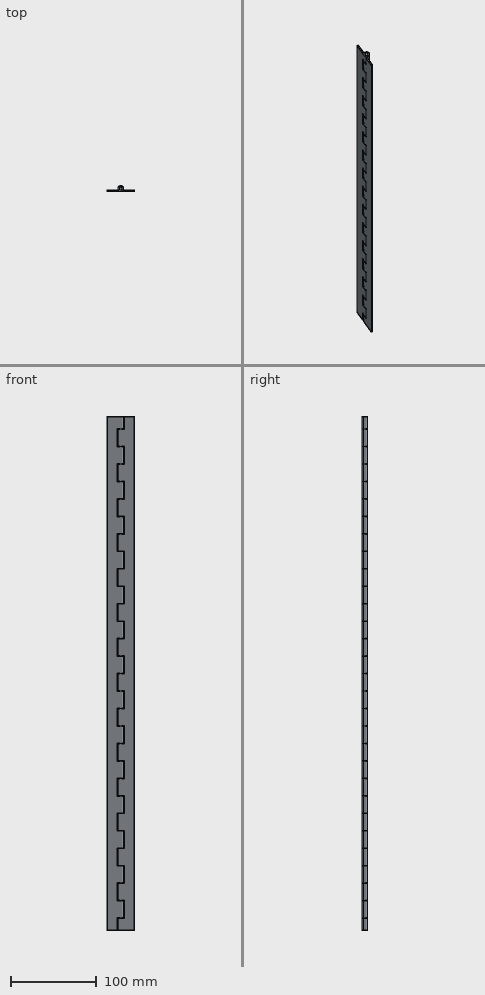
import cadquery as cq

length = 600.0
open_width = 32.0
knuckle_diameter = 7.0
leaf_thickness = 1.75
knuckle_pitch = 20.4
clearance = 0.4
knuckle_count = 30

knuckle_radius = knuckle_diameter / 2
pin_radius = knuckle_radius - leaf_thickness
half_width = open_width / 2
notch_depth = knuckle_radius + clearance
leaf_back = -knuckle_radius
leaf_front = leaf_back + leaf_thickness
joint_count = knuckle_count - 1
first_joint = (length - (joint_count - 1) * knuckle_pitch) / 2


def knuckle_span(index):
    """Bottom and top of one knuckle; the two end knuckles are cut short by the leaf ends."""
    bottom = 0.0
    if index > 0:
        bottom = first_joint + (index - 1) * knuckle_pitch + clearance / 2
    top = length
    if index < knuckle_count - 1:
        top = first_joint + index * knuckle_pitch - clearance / 2
    return bottom, top


def extrude_between(profile, bottom, top):
    """Extrude an XY profile from one height to another."""
    return profile.extrude(top - bottom).translate((0, 0, bottom))


def plate(inner_x, outer_x, bottom, top):
    """Flat stretch of a leaf between two distances from the hinge axis."""
    profile = cq.Workplane("XY").moveTo(inner_x, leaf_back).lineTo(outer_x, leaf_back)
    profile = profile.lineTo(outer_x, leaf_front).lineTo(inner_x, leaf_front).close()
    return extrude_between(profile, bottom, top)


def make_leaf(side, first_knuckle):
    """Leaf on the +X (side = 1) or -X (side = -1) side, with every second knuckle rolled around the pin."""
    leaf = plate(side * notch_depth, side * half_width, 0.0, length)
    for index in range(first_knuckle, knuckle_count, 2):
        bottom, top = knuckle_span(index)
        barrel = extrude_between(cq.Workplane("XY").circle(knuckle_radius), bottom, top)
        tongue = plate(0.0, side * notch_depth, bottom, top)
        leaf = leaf.union(barrel.union(tongue))
    bore = cq.Workplane("XY").circle(pin_radius).extrude(length)
    return leaf.cut(bore)


def make_pin():
    """Straight pin filling the bore over the full hinge length."""
    return cq.Workplane("XY").circle(pin_radius).extrude(length)


right_leaf = make_leaf(1, 0)
left_leaf = make_leaf(-1, 1)
pin = make_pin()

result = cq.Compound.makeCompound([right_leaf.val(), left_leaf.val(), pin.val()])